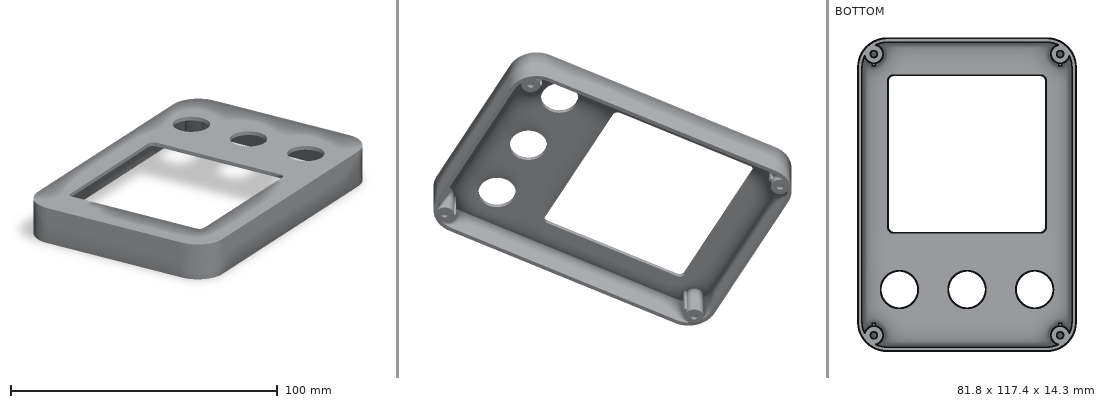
import cadquery as cq

width = 81.8
length = 117.4
height = 14.3
corner_radius = 11.0
wall = 1.5
plate = 1.5

button_diameter = 14.0
button_spacing = 25.4
button_y = 35.6

window_width = 59.2
window_length = 59.0
window_y = -15.3
window_corner_radius = 2.0

post_diameter = 6.9
pilot_diameter = 2.6
post_inset = 6.0

rib_thickness = 1.0
rib_reach = 4.5
rib_clearance = 2.0

cavity_height = height - plate


def rounded_block(size_x, size_y, size_z, radius):
    """Block standing on the XY plane with rounded vertical edges."""
    block = cq.Workplane("XY").rect(size_x, size_y).extrude(size_z)
    return block.edges("|Z").fillet(radius)


def shell():
    outside = rounded_block(width, length, height, corner_radius)
    cavity = rounded_block(
        width - 2 * wall, length - 2 * wall, cavity_height, corner_radius - wall
    )
    return outside.cut(cavity)


def button_openings():
    centers = [(step * button_spacing, button_y) for step in (-1, 0, 1)]
    return cq.Workplane("XY").pushPoints(centers).circle(button_diameter / 2).extrude(height)


def window_opening():
    window = rounded_block(window_width, window_length, height, window_corner_radius)
    return window.translate((0, window_y, 0))


def screw_post():
    """Post on the Z axis with a rib along -Y, reaching up to the underside of the plate."""
    post = cq.Workplane("XY").circle(post_diameter / 2).extrude(cavity_height)
    rib = (
        cq.Workplane("XY")
        .box(rib_thickness, rib_reach, cavity_height - rib_clearance, centered=(True, False, False))
        .translate((0, -rib_reach, rib_clearance))
    )
    pilot = cq.Workplane("XY").circle(pilot_diameter / 2).extrude(cavity_height)
    return post.union(rib).cut(pilot)


def corner_posts():
    """Posts in all four corners, with every rib pointing towards the middle of the part."""
    right_back = screw_post().translate((width / 2 - post_inset, length / 2 - post_inset, 0))
    back = right_back.union(right_back.mirror("YZ"))
    return back.union(back.mirror("XZ"))


result = shell().cut(button_openings()).cut(window_opening()).union(corner_posts())